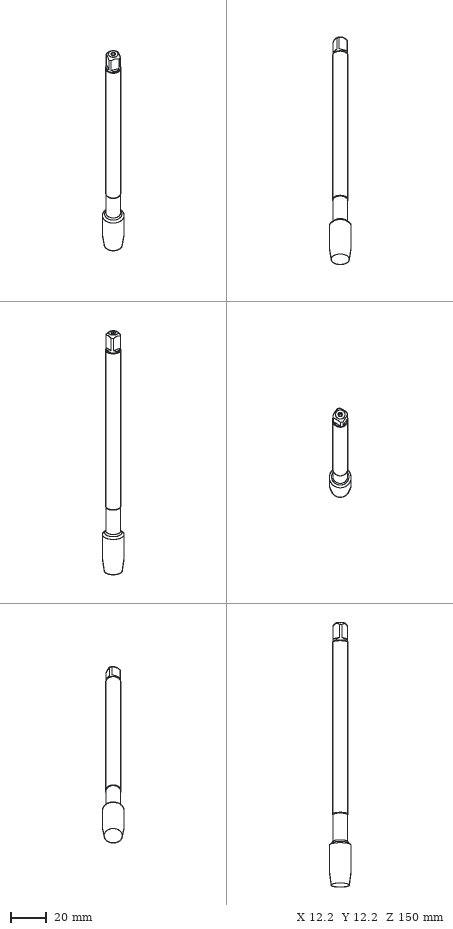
import cadquery as cq

total_length = 150.0
lead_length = 7.8
tip_height = 0.3
thread_length = 23.1
shoulder_z = 24.2
neck_start_z = 25.2
neck_end_z = 40.5
shank_end_z = 139.5
square_start_z = 140.1

thread_diameter = 12.2
tip_diameter = 10.2
shoulder_diameter = 9.6
neck_diameter = 8.2
shank_diameter = 8.5
square_corner_diameter = 8.2
square_end_diameter = 5.2
center_hole_diameter = 1.6
countersink_diameter = 2.4
countersink_angle = 60

square_width = 6.8
square_end_chamfer = (square_corner_diameter - square_end_diameter) / 2
flat_runout = 0.9
shank_edge_height = 0.5
center_hole_depth = 2.2


def revolve_profile(points):
    """Revolve a (radius, height) outline around the Z axis."""
    return cq.Workplane("XZ").polyline(points).close().revolve(360, (0, 0, 0), (0, 1, 0))


def make_threaded_head():
    """Plain threaded envelope with a shallow conical tip, a tapered lead and a chamfered shoulder."""
    return revolve_profile([
        (0, 0),
        (tip_diameter / 2, tip_height),
        (thread_diameter / 2, lead_length),
        (thread_diameter / 2, thread_length),
        (shoulder_diameter / 2, shoulder_z),
        (0, shoulder_z),
    ])


def make_turned_shank():
    """Flared neck, shank and round blank of the drive square."""
    return revolve_profile([
        (0, shoulder_z),
        (shoulder_diameter / 2, shoulder_z),
        (neck_diameter / 2, neck_start_z),
        (neck_diameter / 2, neck_end_z),
        (shank_diameter / 2, neck_end_z + shank_edge_height),
        (shank_diameter / 2, shank_end_z - shank_edge_height),
        (square_corner_diameter / 2, shank_end_z),
        (square_corner_diameter / 2, total_length - square_end_chamfer),
        (square_end_diameter / 2, total_length),
        (0, total_length),
    ])


def make_flat_cutter():
    """Cutter for the +X flat, with a sloped runout at its lower end."""
    flat_x = square_width / 2
    outer_x = shank_diameter
    runout_top_z = square_start_z + flat_runout
    return (
        cq.Workplane("XZ")
        .moveTo(flat_x, runout_top_z)
        .lineTo(flat_x + flat_runout, square_start_z)
        .lineTo(outer_x, square_start_z)
        .lineTo(outer_x, total_length)
        .lineTo(flat_x, total_length)
        .close()
        .extrude(shank_diameter / 2, both=True)
    )


def make_shank():
    shank = make_turned_shank()
    for angle in (0, 90, 180, 270):
        shank = shank.cut(make_flat_cutter().rotate((0, 0, 0), (0, 0, 1), angle))
    return (
        shank.faces(">Z")
        .workplane(origin=(0, 0, total_length))
        .cskHole(center_hole_diameter, countersink_diameter, countersink_angle, center_hole_depth)
    )


threaded_head = make_threaded_head()
shank = make_shank()

result = cq.Compound.makeCompound([threaded_head.val(), shank.val()])